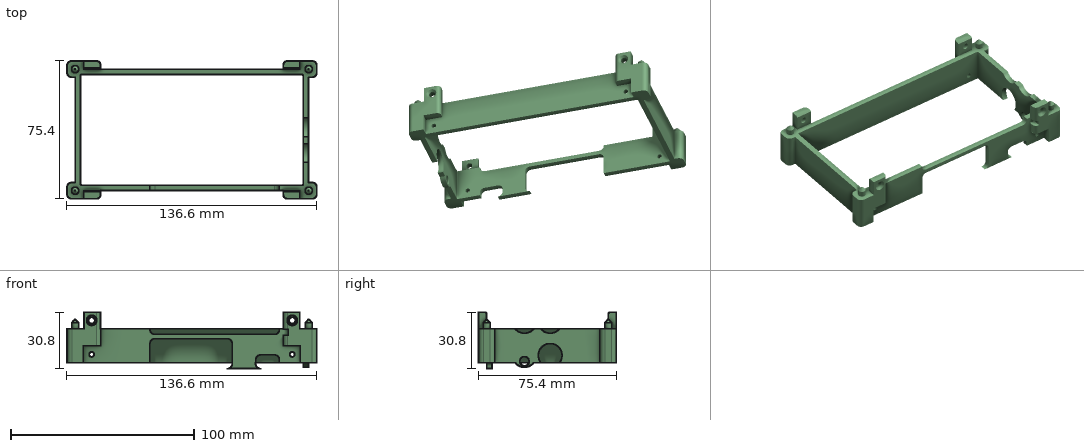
import cadquery as cq

length = 136.6
width = 75.4
frame_height = 18.7
wall = 3.0

block_size = 9.0
block_corner_radius = 2.7
pin_diameter = 4.0
pin_straight_height = 3.1
pin_tip_height = 1.9
pin_tip_radius = 0.1

wall_x = length / 2 - block_size / 2
wall_y = width / 2 - block_size / 2

tab_near_x = 59.0
tab_far_x = 49.9
tab_bottom = 9.4
tab_top = 27.7
tab_corner_radius = 2.3
tab_edge_chamfer = 0.7
screw_x = 54.8
screw_z = 23.2
screw_diameter = 3.4
countersink_diameter = 5.6
small_hole_diameter = 2.6
small_hole_z = 4.6

opening_left = -23.0
tongue_left = 22.0
tongue_right = 34.8
opening_right = 47.8
large_opening_top = 13.3
small_opening_top = 4.4
tongue_bottom = -3.1
opening_radius = 2.7
recess_floor = 15.6

relief_right = 52.7
relief_bottom = 15.0
relief_top = 18.3

port_diameter = 13.0
port_y = 1.5
plug_y = -12.6
lower_row_z = 4.1
upper_row_z = 22.7
plug_hole_diameter = 5.0
plug_hole_z = 1.0


def box(x0, x1, y0, y1, z0, z1):
    """Box between two limits along each axis."""
    return cq.Workplane("XY").box(x1 - x0, y1 - y0, z1 - z0, centered=False).translate((x0, y0, z0))


def cylinder_along_x(diameter, y, z):
    """Cylinder through the thickness of the right end wall."""
    start = wall_x - wall
    return cq.Workplane("YZ", origin=(start, 0, 0)).center(y, z).circle(diameter / 2).extrude(wall)


def corner_unit():
    """Corner block with pin and screw tab, at the +X, +Y corner."""
    inner_x = length / 2 - block_size
    inner_y = width / 2 - block_size
    block = box(inner_x, length / 2, inner_y, width / 2, 0, frame_height)
    block = block.edges("|Z and >X").fillet(block_corner_radius)
    block = block.edges("|Z and <X and <Y").fillet(block_size / 2)

    pin_radius = pin_diameter / 2
    pin_side_top = frame_height + pin_straight_height
    pin = (
        cq.Workplane("XZ")
        .moveTo(0, 0)
        .lineTo(pin_radius, 0)
        .lineTo(pin_radius, pin_side_top)
        .lineTo(pin_tip_radius, pin_side_top + pin_tip_height)
        .lineTo(0, pin_side_top + pin_tip_height)
        .close()
        .revolve(360, (0, 0), (0, 1))
        .translate((wall_x, wall_y, 0))
    )

    tab = box(tab_far_x, tab_near_x, wall_y, width / 2, tab_bottom, tab_top)
    tab = tab.edges("|Z and <X and >Y").fillet(tab_corner_radius)
    tab = tab.edges(">Z and <Y").chamfer(tab_edge_chamfer)
    bridge = box(tab_near_x, inner_x, wall_y, width / 2, tab_bottom, frame_height)

    unit = block.union(pin).union(tab).union(bridge)
    screw_face = cq.Workplane("XZ", origin=(screw_x, width / 2, screw_z)).workplane(invert=True)
    screw_hole = screw_face.circle(screw_diameter / 2).extrude(-block_size)
    countersink_depth = (countersink_diameter - screw_diameter) / 2
    countersink = (
        screw_face.circle(countersink_diameter / 2)
        .workplane(offset=-countersink_depth)
        .circle(screw_diameter / 2)
        .loft()
    )
    return unit.cut(screw_hole).cut(countersink)


def rounded_opening(x0, x1, z0, z1):
    """Cutter through the front wall with all four corners rounded."""
    opening = box(x0, x1, -wall_y, -wall_y + wall, z0, z1)
    return opening.edges("|Y").fillet(opening_radius)


result = box(-wall_x, wall_x, -wall_y, wall_y, 0, frame_height)
inside_x = wall_x - wall
inside_y = wall_y - wall
result = result.cut(box(-inside_x, inside_x, -inside_y, inside_y, 0, frame_height))

foot_left = tongue_left - opening_radius
foot_right = tongue_right + opening_radius
result = result.union(box(foot_left, foot_right, -wall_y, -inside_y, tongue_bottom, frame_height))
result = result.cut(rounded_opening(opening_left, tongue_left, tongue_bottom, large_opening_top))
result = result.cut(rounded_opening(tongue_right, opening_right, tongue_bottom, small_opening_top))
recess_height = 2 * (frame_height - recess_floor)
result = result.cut(rounded_opening(opening_left, opening_right, recess_floor, recess_floor + recess_height))

result = result.union(cylinder_along_x(port_diameter, plug_y, lower_row_z))
result = result.cut(cylinder_along_x(plug_hole_diameter, plug_y, plug_hole_z))
for y, z in [(port_y, lower_row_z), (port_y, upper_row_z), (plug_y, upper_row_z)]:
    result = result.cut(cylinder_along_x(port_diameter, y, z))

back_right_unit = corner_unit()
right_units = back_right_unit.union(back_right_unit.mirror("XZ"))
result = result.union(right_units).union(right_units.mirror("YZ"))

for x in (-screw_x, screw_x):
    hole = cq.Workplane("XZ", origin=(x, 0, small_hole_z)).circle(small_hole_diameter / 2)
    result = result.cut(hole.extrude(width / 2, both=True))

result = result.cut(box(tab_far_x, relief_right, -width / 2, -wall_y, relief_bottom, relief_top))